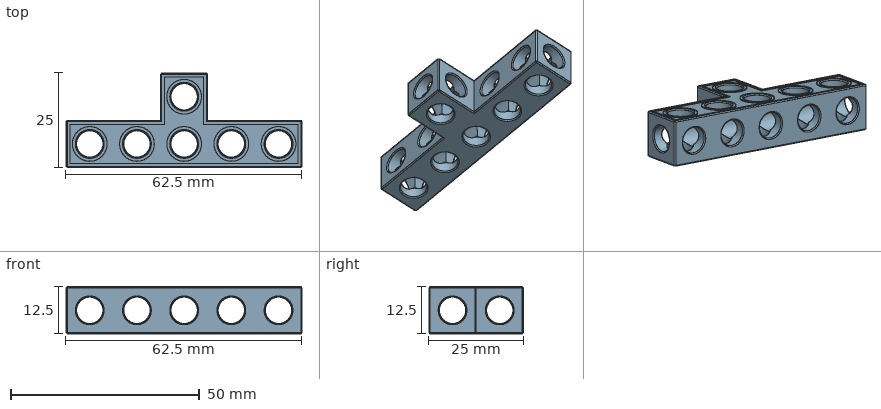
import cadquery as cq

pitch = 12.5
cells_along = 5
length = pitch * cells_along
half_length = length / 2
half_cell = pitch / 2

edge_chamfer = 0.3
hole_diameter = 7.0
hole_chamfer = 0.3
mouth_diameter = hole_diameter + 2 * hole_chamfer

rim_width = 1.05
recess_depth = 0.2
collar_diameter = 9.2

bar_x = [pitch * (i - (cells_along - 1) / 2) for i in range(cells_along)]
bar_y = -half_cell
stem_y = half_cell
cell_centres = [(x, bar_y) for x in bar_x] + [(0, stem_y)]


def tee(inset, height):
    """T-shaped prism from Z = 0 upwards, its outline moved inwards by inset."""
    bar_end = half_length - inset
    bar_back = -inset
    stem_side = half_cell - inset
    stem_back = pitch - inset
    return (
        cq.Workplane("XY")
        .moveTo(-bar_end, -pitch + inset)
        .lineTo(bar_end, -pitch + inset)
        .lineTo(bar_end, bar_back)
        .lineTo(stem_side, bar_back)
        .lineTo(stem_side, stem_back)
        .lineTo(-stem_side, stem_back)
        .lineTo(-stem_side, bar_back)
        .lineTo(-bar_end, bar_back)
        .close()
        .extrude(height)
    )


def through_hole(start, direction, depth):
    """Cutter for a straight hole with a chamfered mouth at both ends."""
    axis = cq.Vector(*direction)
    origin = cq.Vector(*start)
    bore = cq.Solid.makeCylinder(hole_diameter / 2, depth, origin, axis)
    near_mouth = cq.Solid.makeCone(
        mouth_diameter / 2, hole_diameter / 2, hole_chamfer, origin, axis
    )
    far_mouth = cq.Solid.makeCone(
        mouth_diameter / 2, hole_diameter / 2, hole_chamfer, origin + axis * depth, axis * -1
    )
    return bore.fuse(near_mouth, far_mouth)


body = tee(0, pitch).edges("|Z and (<X or >X or >Y)").chamfer(edge_chamfer)
body = body.faces("<Z or >Z").edges().chamfer(edge_chamfer)

recess = tee(rim_width, recess_depth)
collars = cq.Workplane("XY").pushPoints(cell_centres).circle(collar_diameter / 2).extrude(recess_depth)
body = body.cut(recess.cut(collars).translate((0, 0, pitch - recess_depth)))

for x, y in cell_centres:
    body = body.cut(cq.Workplane(through_hole((x, y, 0), (0, 0, 1), pitch)))

for x in bar_x:
    depth = 2 * pitch if x == 0 else pitch
    body = body.cut(cq.Workplane(through_hole((x, -pitch, half_cell), (0, 1, 0), depth)))

body = body.cut(cq.Workplane(through_hole((-half_length, bar_y, half_cell), (1, 0, 0), length)))
body = body.cut(cq.Workplane(through_hole((-half_cell, stem_y, half_cell), (1, 0, 0), pitch)))

result = body